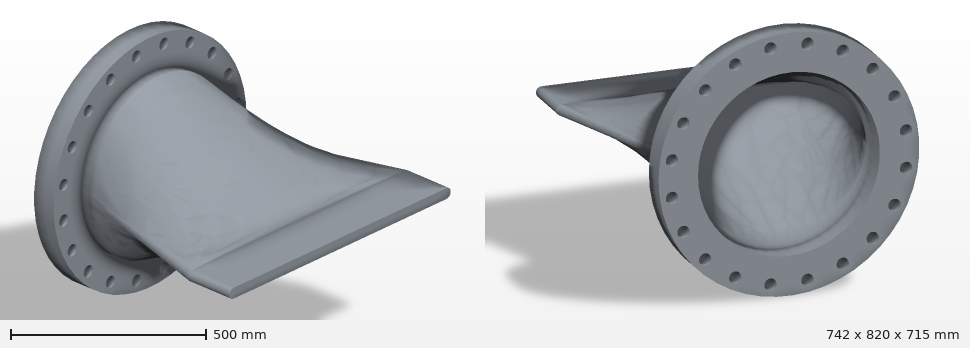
import cadquery as cq
import math

flange_radius = 357.5
flange_thickness = 25.5
ring_thickness = 44.0
flange_back = flange_thickness + ring_thickness

bolt_count = 20
bolt_hole_diameter = 34.0
bolt_circle_radius = 325.0
first_bolt_angle = 360 / bolt_count / 2

neck_radius = 256.0
bore_radius = 249.0
neck_end = 97.5
bore_end = 62.0

overall_length = 742.0
lip_start = 594.5
lip_half_width = 410.0
lip_half_height = 15.5

throat_half_height = 234.0
slit_half_height = 1.0
side_wall = neck_radius - bore_radius

side_strip = 11.0


def arched_section(x, half_width, half_height, shoulder):
    """Outline across X: top and bottom arcs between the shoulders, joined by narrow side strips."""
    return (
        cq.Workplane("YZ", origin=(x, 0, 0))
        .moveTo(shoulder, side_strip)
        .threePointArc((0, half_height), (-shoulder, side_strip))
        .threePointArc((-half_width, 0), (-shoulder, -side_strip))
        .threePointArc((0, -half_height), (shoulder, -side_strip))
        .threePointArc((half_width, 0), (shoulder, side_strip))
        .close()
        .val()
    )


def round_section(x, half_width, half_height):
    """Circle, or slightly flattened circle, across X."""
    shoulder = half_width * math.sqrt(1 - (side_strip / half_height) ** 2)
    return arched_section(x, half_width, half_height, shoulder)


def pinched_section(x, half_width, half_height):
    """Slit across X: lips bowed together at the middle, with fully rounded ends."""
    return arched_section(x, half_width, half_height, half_width - side_strip)


def slot_section(x, half_width, half_height):
    """Flat outline across X with fully rounded ends."""
    straight = half_width - half_height
    return (
        cq.Workplane("YZ", origin=(x, 0, 0))
        .moveTo(straight, half_height)
        .lineTo(-straight, half_height)
        .threePointArc((-half_width, 0), (-straight, -half_height))
        .lineTo(straight, -half_height)
        .threePointArc((half_width, 0), (straight, half_height))
        .close()
        .val()
    )


def ruled_loft(*sections):
    return cq.Workplane(obj=cq.Solid.makeLoft(list(sections), True))


def disc(start, end, radius):
    return cq.Workplane("YZ", origin=(start, 0, 0)).circle(radius).extrude(end - start)


def bolt_holes():
    """Cutters for the bolt holes, running through the flange and the ring."""
    return (
        cq.Workplane("YZ")
        .polarArray(bolt_circle_radius, first_bolt_angle, 360, bolt_count)
        .circle(bolt_hole_diameter / 2)
        .extrude(flange_back)
    )


def make_inside():
    """Flow passage: round bore, a short flattening throat, then a taper to the closed slit."""
    throat = round_section(neck_end, bore_radius, throat_half_height)
    flattening = ruled_loft(round_section(bore_end, bore_radius, bore_radius), throat)
    slit = pinched_section(lip_start, lip_half_width - side_wall, slit_half_height)
    return disc(0, bore_end, bore_radius).union(flattening).union(ruled_loft(throat, slit))


def make_valve():
    """Rubber duckbill valve: flange, neck, tapering bill and flat lips."""
    flange = disc(0, flange_thickness, flange_radius)
    neck = disc(flange_thickness, neck_end, neck_radius)
    lip_outline = slot_section(lip_start, lip_half_width, lip_half_height)
    bill = ruled_loft(round_section(neck_end, neck_radius, neck_radius), lip_outline)
    lips = cq.Workplane("YZ", origin=(lip_start, 0, 0)).add(lip_outline).toPending()
    lips = lips.extrude(overall_length - lip_start)
    outside = flange.union(neck).union(bill).union(lips)
    return outside.cut(bolt_holes()).cut(make_inside())


def make_clamping_ring():
    """Backing ring behind the flange, fitted around the neck."""
    ring = disc(flange_thickness, flange_back, flange_radius)
    return ring.cut(disc(flange_thickness, flange_back, neck_radius)).cut(bolt_holes())


valve = make_valve()
clamping_ring = make_clamping_ring()

result = cq.Compound.makeCompound([valve.solids().val(), clamping_ring.solids().val()])